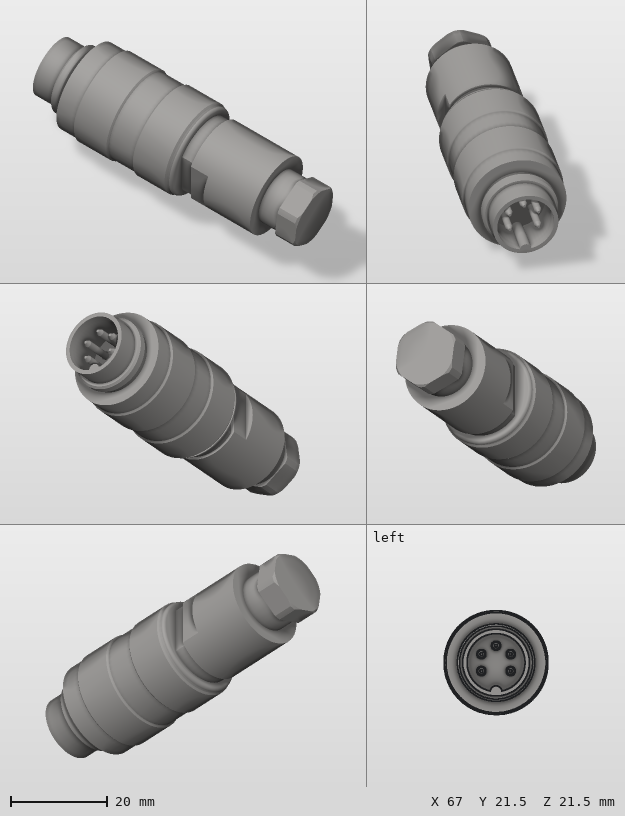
import cadquery as cq
import math

TOTAL_LENGTH = 67.0

SHELL_DIA = 13.8
SHELL_END = 5.1
SEAL_DIA = 16.0
SEAL_CHAMFER = 0.45
SEAL_END = 7.5
SHOULDER_DIA = 15.0

SLEEVE_START = 8.55
SLEEVE_DIA = 20.7
BAND_DIA = 21.5
BAND_BEVEL = (BAND_DIA - SLEEVE_DIA) / 2
BANDS = [(13.0, 22.05), (28.1, 36.95)]
CLIP_GROOVE_DIA = 20.2
CLIP_START = 37.42
SLEEVE_END = 38.15
SLEEVE_END_FILLET = 0.65

NECK_DIA = 17.3
NECK_FLATS = 13.5
BODY_START = 41.0
BODY_DIA = 18.5
BODY_FLATS = 15.2
BODY_FLATS_END = 45.45
BODY_END = 57.35
REAR_NECK_DIA = 12.5

NUT_START = 62.0
NUT_ACROSS_FLATS = 13.0
NUT_CORNER_DIA = 14.3
NUT_TURN = 7.6
NUT_CHAMFER = 0.45

SOCKET_DIA = 12.0
SOCKET_DEPTH = 9.0
KEY_RADIUS = 1.2
PIN_COUNT = 5
PIN_DIA = 1.49
PIN_TIP_DIA = 0.6
PIN_TIP_LENGTH = 1.0
PIN_START = 1.45
PIN_CIRCLE_RADIUS = 3.5
PIN_RECESS_DIA = 1.9
PIN_RECESS_DEPTH = 0.5
PIN_FIRST_ANGLE = -30.0
PIN_PITCH_ANGLE = 60.0


def section(x):
    """Workplane across the axis at the given X: local x is +Y, local y is +Z."""
    return cq.Workplane("YZ", origin=(x, 0, 0))


def cylinder(x_start, x_end, diameter):
    return section(x_start).circle(diameter / 2).extrude(x_end - x_start)


def revolve_about_axis(profile):
    """Revolve a closed (x, radius) profile about the X axis."""
    return cq.Workplane("XY").polyline(profile).close().revolve(360, (0, 0, 0), (1, 0, 0))


def plug_shell():
    seal_radius = SEAL_DIA / 2
    seal_edge = seal_radius - SEAL_CHAMFER
    seal = revolve_about_axis([
        (SHELL_END, 0),
        (SHELL_END, seal_edge),
        (SHELL_END + SEAL_CHAMFER, seal_radius),
        (SEAL_END - SEAL_CHAMFER, seal_radius),
        (SEAL_END, seal_edge),
        (SEAL_END, 0),
    ])
    shell = cylinder(0, SHELL_END, SHELL_DIA)
    shoulder = cylinder(SEAL_END, SLEEVE_START, SHOULDER_DIA)
    return shell.union(seal).union(shoulder)


def grip_band(x_start, x_end):
    return cylinder(x_start, x_end, BAND_DIA).edges().chamfer(BAND_BEVEL)


def coupling_sleeve():
    last_band_end = BANDS[-1][1]
    sleeve = cylinder(SLEEVE_START, last_band_end, SLEEVE_DIA)
    for x_start, x_end in BANDS:
        sleeve = sleeve.union(grip_band(x_start, x_end))
    groove = revolve_about_axis([
        (last_band_end, 0),
        (last_band_end, SLEEVE_DIA / 2),
        (CLIP_START, CLIP_GROOVE_DIA / 2),
        (CLIP_START, 0),
    ])
    end_ring = cylinder(CLIP_START, SLEEVE_END, SLEEVE_DIA).faces(">X").edges().fillet(SLEEVE_END_FILLET)
    return sleeve.union(groove).union(end_ring)


def flatted_cylinder(x_start, x_end, diameter, across_flats):
    """Cylinder with two flats facing -Y and +Y."""
    slab = section(x_start).rect(across_flats, diameter).extrude(x_end - x_start)
    return cylinder(x_start, x_end, diameter).intersect(slab)


def rear_body():
    neck = flatted_cylinder(SLEEVE_END, BODY_START, NECK_DIA, NECK_FLATS)
    front = flatted_cylinder(BODY_START, BODY_FLATS_END, BODY_DIA, BODY_FLATS)
    barrel = cylinder(BODY_FLATS_END, BODY_END, BODY_DIA)
    rear_neck = cylinder(BODY_END, NUT_START, REAR_NECK_DIA)
    return neck.union(front).union(barrel).union(rear_neck)


def clamping_nut():
    """Hexagon with turned corners and a beveled rear face."""
    corner_to_corner = NUT_ACROSS_FLATS / math.cos(math.pi / 6)
    hexagon = section(NUT_START).polygon(6, corner_to_corner).extrude(TOTAL_LENGTH - NUT_START)
    hexagon = hexagon.rotate((0, 0, 0), (1, 0, 0), 90 - NUT_TURN)
    turned = cylinder(NUT_START, TOTAL_LENGTH, NUT_CORNER_DIA)
    turned = turned.faces(">X").chamfer(NUT_CHAMFER)
    return hexagon.intersect(turned)


def pin_centers():
    """(Y, Z) centers of the pins, with angles counted from +Y toward +Z."""
    angles = [math.radians(PIN_FIRST_ANGLE + index * PIN_PITCH_ANGLE) for index in range(PIN_COUNT)]
    return [(PIN_CIRCLE_RADIUS * math.cos(a), PIN_CIRCLE_RADIUS * math.sin(a)) for a in angles]


def contact_pin(y, z):
    """Cone-tipped pin standing in the bottom of its recess."""
    radius = PIN_DIA / 2
    root = SOCKET_DEPTH + PIN_RECESS_DEPTH
    pin = revolve_about_axis([
        (PIN_START, 0),
        (PIN_START, PIN_TIP_DIA / 2),
        (PIN_START + PIN_TIP_LENGTH, radius),
        (root, radius),
        (root, 0),
    ])
    return pin.translate((0, y, z))


def pin_recess(y, z):
    """Shallow round recess in the socket floor around one pin."""
    recess = cylinder(SOCKET_DEPTH, SOCKET_DEPTH + PIN_RECESS_DEPTH, PIN_RECESS_DIA)
    return recess.translate((0, y, z))


def coding_key():
    """Half-round rib along the bottom of the socket."""
    rib = section(0).center(0, -SOCKET_DIA / 2).circle(KEY_RADIUS).extrude(SOCKET_DEPTH)
    return rib.intersect(cylinder(0, SOCKET_DEPTH, SHELL_DIA))


result = plug_shell().union(coupling_sleeve()).union(rear_body()).union(clamping_nut())
result = result.cut(cylinder(0, SOCKET_DEPTH, SOCKET_DIA)).union(coding_key())
for y_center, z_center in pin_centers():
    result = result.cut(pin_recess(y_center, z_center)).union(contact_pin(y_center, z_center))